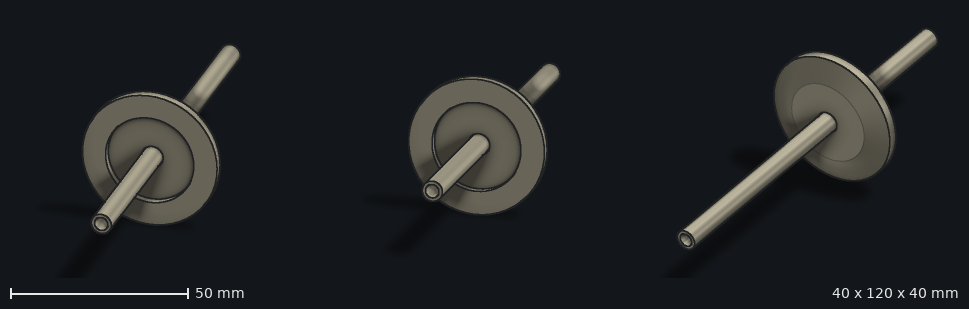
import cadquery as cq

tube_length = 120.0
tube_diameter = 6.0
tube_bore = 4.0

flange_diameter = 40.0
flange_thickness = 5.0
rim_thickness = 3.0
back_diameter = 25.0
recess_diameter = 26.2
recess_depth = 2.5
flange_hole = 6.4
flange_offset = 45.0

tube_front_y = -tube_length / 2
flange_front_y = tube_front_y + flange_offset


def cylinder_along_y(diameter, start_y, length):
    """Solid cylinder on the Y axis, growing toward +Y from start_y."""
    plane = cq.Plane(origin=(0, start_y, 0), xDir=(1, 0, 0), normal=(0, 1, 0))
    return cq.Workplane(plane).circle(diameter / 2).extrude(length)


def make_tube():
    bore = cylinder_along_y(tube_bore, tube_front_y, tube_length)
    return cylinder_along_y(tube_diameter, tube_front_y, tube_length).cut(bore)


def make_flange():
    back_y = flange_front_y + flange_thickness
    rim_back_y = flange_front_y + rim_thickness
    half_profile = [
        (0, flange_front_y),
        (flange_diameter / 2, flange_front_y),
        (flange_diameter / 2, rim_back_y),
        (back_diameter / 2, back_y),
        (0, back_y),
    ]
    disc = cq.Workplane("XY").polyline(half_profile).close().revolve(360, (0, 0, 0), (0, 1, 0))
    recess = cylinder_along_y(recess_diameter, flange_front_y, recess_depth)
    tube_hole = cylinder_along_y(flange_hole, flange_front_y, flange_thickness)
    return disc.cut(recess).cut(tube_hole)


tube = make_tube()
flange = make_flange()

result = cq.Compound.makeCompound([tube.val(), flange.val()])